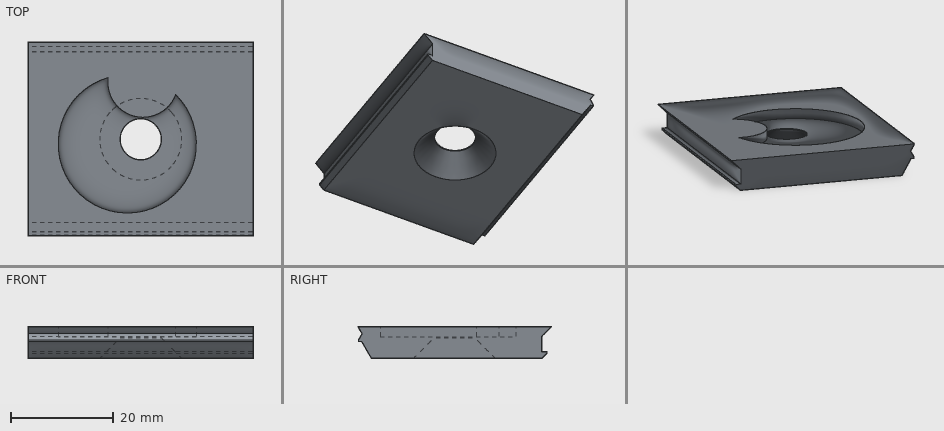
import cadquery as cq
import math

length = 44.0
thickness = 6.2
back_y = 19.0
front_y = -18.87

back_groove_depth = 1.9
back_lip_top_z = 1.3
back_lip_y = 18.1
back_lip_chamfer = 0.95

flank_angle = 30.0
notch_z = 4.8
ridge_top_z = 3.6
ridge_bottom_z = 3.25
front_bottom_y = -16.25

pocket_center = (-2.63, -0.92)
pocket_radius = 13.5
pocket_depth = 2.0
island_center = (0.43, 11.14)
island_radius = 6.85

hole_radius = 4.0
sink_radius = 8.0
hole_land = 0.2


def slope_run(rise):
    """Horizontal run of a front-edge slope over the given rise."""
    return rise * math.tan(math.radians(flank_angle))


def make_plate():
    groove_y = back_y - back_groove_depth
    notch_y = front_y + slope_run(thickness - notch_z)
    ridge_y = notch_y - slope_run(notch_z - ridge_top_z)
    flank_top_y = front_bottom_y - slope_run(ridge_bottom_z)
    profile = [
        (back_y, thickness),
        (groove_y, thickness - back_groove_depth),
        (groove_y, back_lip_top_z),
        (back_lip_y, back_lip_top_z),
        (back_lip_y, back_lip_chamfer),
        (back_lip_y - back_lip_chamfer, 0),
        (front_bottom_y, 0),
        (flank_top_y, ridge_bottom_z),
        (ridge_y, ridge_bottom_z),
        (ridge_y, ridge_top_z),
        (notch_y, notch_z),
        (front_y, thickness),
    ]
    return cq.Workplane("YZ").polyline(profile).close().extrude(length / 2, both=True)


def make_pocket():
    """Crescent-shaped cutter: a disc with the island left standing."""
    floor = cq.Workplane("XY").workplane(offset=thickness - pocket_depth)
    disc = floor.center(*pocket_center).circle(pocket_radius).extrude(pocket_depth)
    island = floor.center(*island_center).circle(island_radius).extrude(pocket_depth)
    return disc.cut(island)


def make_countersunk_hole():
    """Revolved cutter for the hole and the cone that opens at the bottom face."""
    floor_z = thickness - pocket_depth
    half_section = [
        (0, 0),
        (sink_radius, 0),
        (hole_radius, floor_z - hole_land),
        (hole_radius, floor_z),
        (0, floor_z),
    ]
    return cq.Workplane("XZ").polyline(half_section).close().revolve(360, (0, 0), (0, 1))


result = make_plate().cut(make_pocket()).cut(make_countersunk_hole())